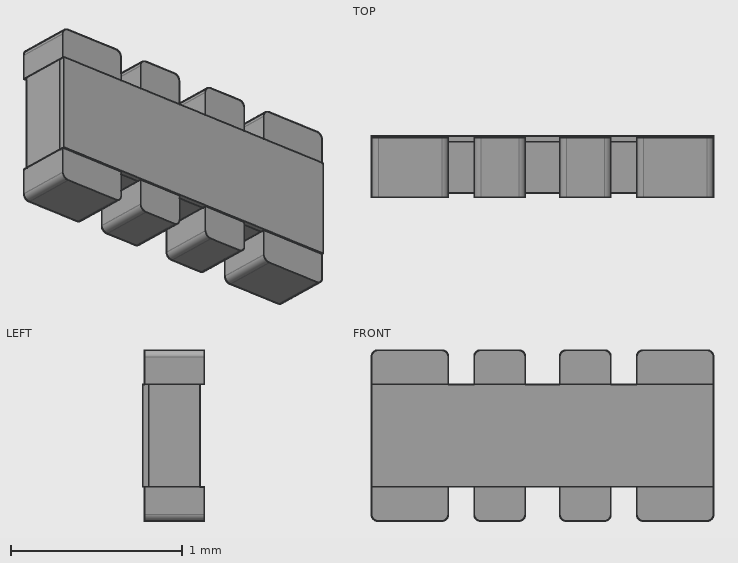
import cadquery as cq


array_length = 2.0
array_height = 1.0

terminal_height = 0.2
terminal_depth = 0.35
end_terminal_width = 0.45
inner_terminal_width = 0.3
inner_terminal_pitch = 0.5
corner_radius = 0.04

slab_height = array_height - 2 * terminal_height
slab_depth = 0.3
slab_front = (terminal_depth - slab_depth) / 2
slab_back = slab_front + slab_depth

coat_back = 0.36
coat_depth = coat_back - slab_back


def make_plate(front, depth):
    """Full-length plate between the terminal rows, starting at Y = front."""
    return (
        cq.Workplane("XY")
        .box(array_length, depth, slab_height, centered=(True, False, True))
        .translate((0, front, 0))
    )


def make_terminal(center_x, width, side):
    """Terminal on the top (side = 1) or bottom (side = -1) edge of the slab."""
    outer_face = ">Z" if side > 0 else "<Z"
    center_z = side * (slab_height + terminal_height) / 2
    return (
        cq.Workplane("XY")
        .box(width, terminal_depth, terminal_height, centered=(True, False, True))
        .faces(outer_face)
        .edges("|Y")
        .fillet(corner_radius)
        .translate((center_x, 0, center_z))
    )


ceramic_slab = make_plate(slab_front, slab_depth)
protective_coat = make_plate(slab_back, coat_depth)

end_terminal_x = (array_length - end_terminal_width) / 2
inner_terminal_x = inner_terminal_pitch / 2

terminals = []
for side in (1, -1):
    for direction in (-1, 1):
        terminals.append(make_terminal(direction * end_terminal_x, end_terminal_width, side))
        terminals.append(make_terminal(direction * inner_terminal_x, inner_terminal_width, side))

result = cq.Compound.makeCompound(
    [ceramic_slab.val(), protective_coat.val(), *[terminal.val() for terminal in terminals]]
)